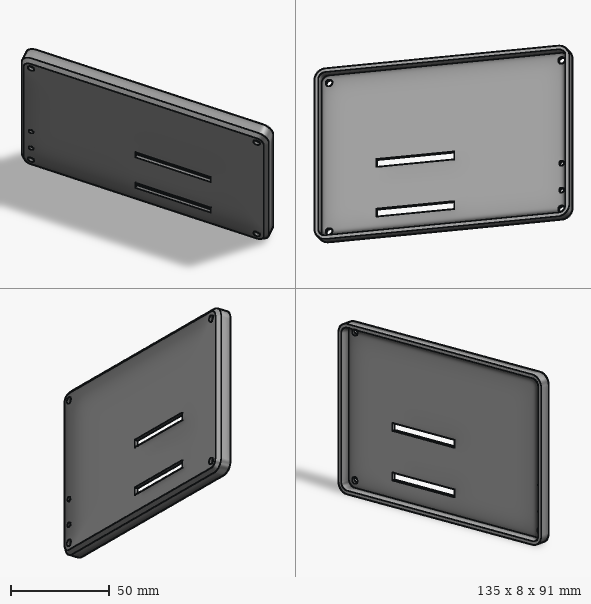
import cadquery as cq

length = 135.0
height = 91.0
depth = 8.0
corner_radius = 6.0
front_chamfer = 2.0

wall = 2.0
floor = 2.0

screw_diameter = 3.5
screw_x = length / 2 - corner_radius
screw_z = height / 2 - corner_radius
screw_centres = [(x, z) for x in (-screw_x, screw_x) for z in (-screw_z, screw_z)]

small_diameter = 2.5
small_centres = [(-screw_x, z) for z in (-15.3, -29.5)]

slot_length = 41.2
slot_height = 4.2
slot_centre_x = 15.9
slot_centres = [(slot_centre_x, z) for z in (-5.5, -32.0)]


def plane_at(y):
    """Sketch plane at depth y: local x is X, local y is Z, extrusion runs toward +Y."""
    return cq.Workplane(cq.Plane(origin=(0, y, 0), xDir=(1, 0, 0), normal=(0, -1, 0)))


def rounded_plate(inset, y_start):
    """Rounded block set in from the outline, from y_start to the back."""
    block = plane_at(y_start).rect(length - 2 * inset, height - 2 * inset).extrude(y_start - depth)
    return block.edges("|Y").fillet(corner_radius - inset)


def holes(centres, diameter):
    """Round cutters through the floor."""
    return plane_at(0).pushPoints(centres).circle(diameter / 2).extrude(-floor)


shell = rounded_plate(0, 0).faces("<Y").chamfer(front_chamfer)
shell = shell.cut(rounded_plate(wall, floor))

slots = plane_at(0).pushPoints(slot_centres).rect(slot_length, slot_height).extrude(-floor)
result = (
    shell.cut(holes(screw_centres, screw_diameter))
    .cut(holes(small_centres, small_diameter))
    .cut(slots)
)